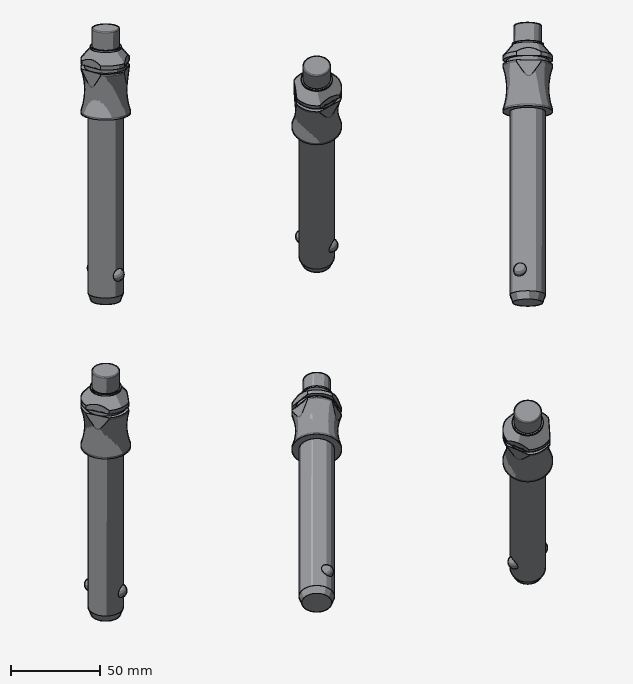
import cadquery as cq
import math


shank_radius = 10.0
shank_length = 110.56
tip_height = 4.4
tip_angle = 20.0
tip_radius = shank_radius - tip_height * math.tan(math.radians(tip_angle))

handle_radius = 14.0
waist_radius = 11.9
waist_height = 13.5
sleeve_height = 27.0
sleeve_lip = 1.0
groove_radius = 12.0
groove_width = 2.5
cap_lip = 2.4
cone_top_height = 38.2
cap_height = 39.2
cap_top_radius = 8.75

button_radius = 7.75
button_top = 50.0
button_edge_fillet = 0.6

flat_count = 3
flat_distance = 12.15
first_flat_angle = -90.0

ball_radius = 4.0
ball_reach = 12.6
ball_height_above_tip = 17.0


def sleeve_radius_at(height, arc_end_height):
    """Radius of the sleeve at a height on the arc that is vertical at the waist."""
    rise = abs(arc_end_height - waist_height)
    flare = handle_radius - waist_radius
    arc_radius = (rise**2 + flare**2) / (2 * flare)
    offset = height - waist_height
    return waist_radius + arc_radius - math.sqrt(arc_radius**2 - offset**2)


def waist_arc_midpoint(arc_end_height):
    """Point on the sleeve profile halfway in height between the waist and a lip."""
    height = (waist_height + arc_end_height) / 2
    return (sleeve_radius_at(height, arc_end_height), height)


def make_shank():
    return (
        cq.Workplane("XZ")
        .moveTo(0, -shank_length)
        .lineTo(tip_radius, -shank_length)
        .lineTo(shank_radius, tip_height - shank_length)
        .lineTo(shank_radius, sleeve_lip)
        .lineTo(0, sleeve_lip)
        .close()
        .revolve(360, (0, 0), (0, 1))
    )


def make_handle():
    upper_arc_end = sleeve_height - sleeve_lip
    groove_top = sleeve_height + groove_width
    return (
        cq.Workplane("XZ")
        .moveTo(0, 0)
        .lineTo(handle_radius, 0)
        .lineTo(handle_radius, sleeve_lip)
        .threePointArc(waist_arc_midpoint(sleeve_lip), (waist_radius, waist_height))
        .threePointArc(waist_arc_midpoint(upper_arc_end), (handle_radius, upper_arc_end))
        .lineTo(handle_radius, sleeve_height)
        .lineTo(groove_radius, sleeve_height)
        .lineTo(groove_radius, groove_top)
        .lineTo(handle_radius, groove_top)
        .lineTo(handle_radius, groove_top + cap_lip)
        .lineTo(cap_top_radius, cone_top_height)
        .lineTo(cap_top_radius, cap_height)
        .lineTo(0, cap_height)
        .close()
        .revolve(360, (0, 0), (0, 1))
    )


def cut_flats(handle):
    """Cut equally spaced vertical flats into the handle above its waist."""
    cutter_depth = handle_radius
    cutter_width = 2 * handle_radius
    cutter_height = cap_height - waist_height
    cutter = (
        cq.Workplane("XY")
        .box(cutter_depth, cutter_width, cutter_height, centered=(False, True, False))
        .translate((flat_distance, 0, waist_height))
    )
    for index in range(flat_count):
        angle = first_flat_angle + index * 360 / flat_count
        handle = handle.cut(cutter.rotate((0, 0, 0), (0, 0, 1), angle))
    return handle


def make_button():
    return (
        cq.Workplane("XY")
        .circle(button_radius)
        .extrude(button_top)
        .faces(">Z")
        .edges()
        .fillet(button_edge_fillet)
    )


def make_ball(side):
    center_x = side * (ball_reach - ball_radius)
    center_z = ball_height_above_tip - shank_length
    return cq.Workplane("XY").sphere(ball_radius).translate((center_x, 0, center_z))


result = make_shank().union(cut_flats(make_handle())).union(make_button())
for side in (-1, 1):
    result = result.union(make_ball(side))